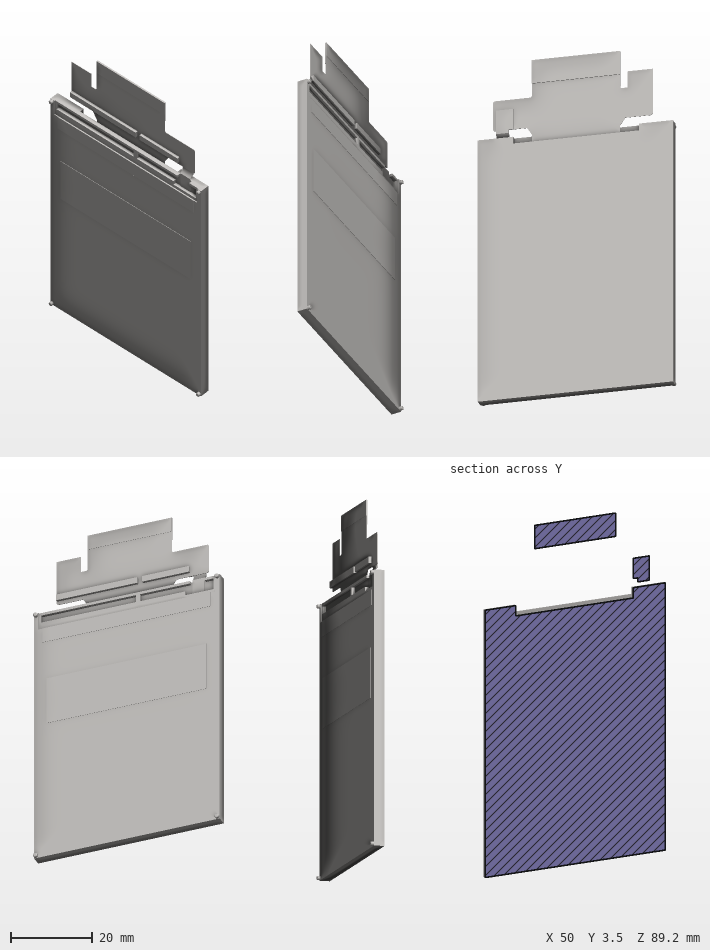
import cadquery as cq


BODY_WIDTH = 50.0
BODY_HEIGHT = 69.2
BODY_DEPTH = 2.7
TOTAL_DEPTH = 3.5
TOTAL_HEIGHT = 89.2

FOOT_DIAMETER = 1.1
FOOT_INSET = 0.58
FOOT_CHAMFER = 0.13

PANEL_WIDTH = 47.45
PANEL_BOTTOM = 64.6
PANEL_FLOOR_DEPTH = 2.4
POCKET_FLOOR_DEPTH = 1.5
POCKET_HALF_WIDTH = 23.2
POCKET_TOP = 68.5
POCKET_BOTTOM = 66.5
LEFT_POCKET_END = 2.3
RIGHT_POCKET_START = 3.5
DEEP_POCKET_START = 15.6
DEEP_POCKET_BOTTOM = 65.5

FILM_THICKNESS = 0.1
STRIP_WIDTH = 45.3
STRIP_BOTTOM = 60.7
LABEL_WIDTH = 43.2
LABEL_BOTTOM = 37.55
LABEL_TOP = 50.2

RECESS_LEFT = -16.4
RECESS_RIGHT = 16.0
RECESS_DEPTH = 1.25
RECESS_FLOOR = 66.5
BACK_WALL_DEPTH = 0.3
BACK_WALL_TOP = 67.4

FLEX_BACK_DEPTH = 0.7
FLEX_FRONT_DEPTH = 0.85
FLEX_BOTTOM = 71.45
FLEX_LEFT = -19.7
FLEX_RIGHT = 21.3
TAB_INNER = -13.2
TAB_TOP = 83.7
SHOULDER = 79.4
HEAD_HALF_WIDTH = 11.3
NECK_TOP_HALF_WIDTH = 12.6
NECK_HALF_WIDTH = 11.2
NECK_TAPER_END = 69.4
FLEX_CORNER_RADIUS = 0.5
CONTACT_BOTTOM = 85.3
CONTACT_THICKNESS = 0.1
STIFFENER_DEPTH = 0.49
STIFFENER_BOTTOM = 83.05

COMPONENT_SPANS = [(-19.5, 2.3), (3.7, 16.2)]
COMPONENT_BOTTOM = 72.4
COMPONENT_TOP = 74.0
COMPONENT_FRONT_DEPTH = 1.6

TAIL_LEFT = 17.2
TAIL_RIGHT = 20.5
TAIL_THICKNESS = 0.13
TAIL_OVERLAP = 0.4
TAIL_BEND_TOP = 70.6
TAIL_BEND_BOTTOM = 69.75
TAIL_PAD_LEFT = 16.0
TAIL_PAD_TOP = 76.8
TAIL_NOTCH_CLEARANCE = 0.4


def block(left, right, back, front, bottom, top):
    """Box between two X values, two depths from the back face and two heights."""
    return (
        cq.Workplane("XY")
        .box(right - left, front - back, top - bottom, centered=False)
        .translate((left, -front, bottom))
    )


def centred_block(width, back, front, bottom, top):
    return block(-width / 2, width / 2, back, front, bottom, top)


def make_body():
    body = centred_block(BODY_WIDTH, 0, BODY_DEPTH, 0, BODY_HEIGHT)
    recess = block(RECESS_LEFT, RECESS_RIGHT, BACK_WALL_DEPTH, RECESS_DEPTH, RECESS_FLOOR, BODY_HEIGHT)
    wall_gap = block(RECESS_LEFT, RECESS_RIGHT, 0, BACK_WALL_DEPTH, BACK_WALL_TOP, BODY_HEIGHT)
    body = body.cut(recess).cut(wall_gap)
    return add_films(body).cut(make_front_pockets())


def add_films(body):
    film_front = BODY_DEPTH + FILM_THICKNESS
    strip = centred_block(STRIP_WIDTH, BODY_DEPTH, film_front, STRIP_BOTTOM, PANEL_BOTTOM)
    label = centred_block(LABEL_WIDTH, BODY_DEPTH, film_front, LABEL_BOTTOM, LABEL_TOP)
    return body.union(strip).union(label)


def make_front_pockets():
    def pocket(left, right, bottom, top):
        return block(left, right, POCKET_FLOOR_DEPTH, BODY_DEPTH, bottom, top)

    panel = centred_block(PANEL_WIDTH, PANEL_FLOOR_DEPTH, BODY_DEPTH, PANEL_BOTTOM, BODY_HEIGHT)
    left_pocket = pocket(-POCKET_HALF_WIDTH, LEFT_POCKET_END, POCKET_BOTTOM, POCKET_TOP)
    right_pocket = pocket(RIGHT_POCKET_START, POCKET_HALF_WIDTH, POCKET_BOTTOM, POCKET_TOP)
    deep_pocket = pocket(DEEP_POCKET_START, POCKET_HALF_WIDTH, DEEP_POCKET_BOTTOM, POCKET_TOP)
    tail_notch = pocket(
        TAIL_LEFT - TAIL_NOTCH_CLEARANCE, TAIL_RIGHT + TAIL_NOTCH_CLEARANCE, POCKET_TOP, BODY_HEIGHT
    )
    return panel.union(left_pocket).union(right_pocket).union(deep_pocket).union(tail_notch)


def make_feet():
    x_centre = BODY_WIDTH / 2 - FOOT_INSET
    centres = [(x, z) for x in (-x_centre, x_centre) for z in (FOOT_INSET, BODY_HEIGHT - FOOT_INSET)]
    return (
        cq.Workplane("XZ", origin=(0, -BODY_DEPTH, 0))
        .pushPoints(centres)
        .circle(FOOT_DIAMETER / 2)
        .extrude(TOTAL_DEPTH - BODY_DEPTH)
        .faces("<Y")
        .chamfer(FOOT_CHAMFER)
    )


def make_flex():
    outline = [
        (FLEX_LEFT, FLEX_BOTTOM),
        (FLEX_LEFT, TAB_TOP),
        (TAB_INNER, TAB_TOP),
        (TAB_INNER, SHOULDER),
        (-HEAD_HALF_WIDTH, SHOULDER),
        (-HEAD_HALF_WIDTH, TOTAL_HEIGHT),
        (HEAD_HALF_WIDTH, TOTAL_HEIGHT),
        (HEAD_HALF_WIDTH, SHOULDER),
        (FLEX_RIGHT, SHOULDER),
        (FLEX_RIGHT, FLEX_BOTTOM),
        (NECK_TOP_HALF_WIDTH, FLEX_BOTTOM),
        (NECK_HALF_WIDTH, NECK_TAPER_END),
        (NECK_HALF_WIDTH, RECESS_FLOOR),
        (-NECK_HALF_WIDTH, RECESS_FLOOR),
        (-NECK_HALF_WIDTH, NECK_TAPER_END),
        (-NECK_TOP_HALF_WIDTH, FLEX_BOTTOM),
    ]
    sheet = (
        cq.Workplane("XZ", origin=(0, -FLEX_BACK_DEPTH, 0))
        .polyline(outline)
        .close()
        .extrude(FLEX_FRONT_DEPTH - FLEX_BACK_DEPTH)
    )
    rounded_corners = [
        (-HEAD_HALF_WIDTH, SHOULDER),
        (HEAD_HALF_WIDTH, SHOULDER),
        (FLEX_RIGHT, SHOULDER),
        (FLEX_RIGHT, FLEX_BOTTOM),
        (FLEX_LEFT, FLEX_BOTTOM),
    ]
    mid_depth = (FLEX_BACK_DEPTH + FLEX_FRONT_DEPTH) / 2
    for x, z in rounded_corners:
        corner_edge = cq.selectors.NearestToPointSelector((x, -mid_depth, z))
        sheet = sheet.edges("|Y").edges(corner_edge).fillet(FLEX_CORNER_RADIUS)

    head_width = 2 * HEAD_HALF_WIDTH
    contact_front = FLEX_FRONT_DEPTH + CONTACT_THICKNESS
    contact = centred_block(head_width, FLEX_FRONT_DEPTH, contact_front, CONTACT_BOTTOM, TOTAL_HEIGHT)
    stiffener = centred_block(head_width, STIFFENER_DEPTH, FLEX_BACK_DEPTH, STIFFENER_BOTTOM, TOTAL_HEIGHT)
    flex = sheet.union(contact).union(stiffener)

    for left, right in COMPONENT_SPANS:
        component = block(
            left, right, FLEX_FRONT_DEPTH, COMPONENT_FRONT_DEPTH, COMPONENT_BOTTOM, COMPONENT_TOP
        )
        flex = flex.union(component)
    return flex


def make_tail():
    pad = block(TAIL_PAD_LEFT, TAIL_RIGHT, STIFFENER_DEPTH, FLEX_BACK_DEPTH, FLEX_BOTTOM, TAIL_PAD_TOP)
    leg_front = POCKET_FLOOR_DEPTH + TAIL_THICKNESS
    strip = (
        cq.Workplane("YZ", origin=(TAIL_LEFT, 0, 0))
        .moveTo(-FLEX_BACK_DEPTH, FLEX_BOTTOM + TAIL_OVERLAP)
        .lineTo(-FLEX_BACK_DEPTH, FLEX_BOTTOM)
        .tangentArcPoint((-leg_front, TAIL_BEND_BOTTOM), relative=False)
        .lineTo(-leg_front, DEEP_POCKET_BOTTOM)
        .lineTo(-POCKET_FLOOR_DEPTH, DEEP_POCKET_BOTTOM)
        .lineTo(-POCKET_FLOOR_DEPTH, TAIL_BEND_BOTTOM - TAIL_THICKNESS)
        .lineTo(-STIFFENER_DEPTH, TAIL_BEND_TOP)
        .lineTo(-STIFFENER_DEPTH, FLEX_BOTTOM + TAIL_OVERLAP)
        .close()
        .extrude(TAIL_RIGHT - TAIL_LEFT)
    )
    return pad.union(strip)


result = make_body().union(make_feet()).union(make_flex()).union(make_tail())